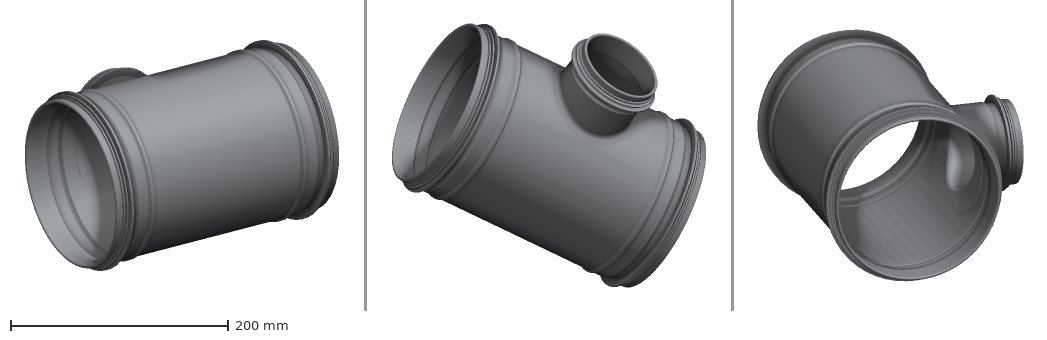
import cadquery as cq

pipe_length = 243.0
pipe_diameter = 159.0
sheet = 0.5

branch_diameter = 79.0
neck_diameter = 78.0
overall_width = 211.5

bore_drop = 5.8
groove_drop = 4.5
taper_start = 21.5
taper_end = 24.3
bend_shift = 0.7
fold_length = 6.3

tongue_drop = 3.5
band_drop = 2.0
gasket_start = 2.5
gasket_end = 15.5
band_start = 7.0
gasket_lips = [(7.5, 8.7, 1.7), (10.2, 11.5, 5.5), (13.5, gasket_end, 10.5)]

bead_center = 39.0
bead_foot_width = 6.8
bead_crest_width = 3.0
bead_height = 1.7

plate_half_length = 65.1
plate_half_height = 53.5
plate_top_half_length = 27.2
plate_side_half_height = 32.3
plate_corner_middle = (47.5, 47.1)
neck_fillet = 4.0
pipe_opening_diameter = 93.3

max_lip_rise = gasket_lips[-1][2]
branch_reach = overall_width - (pipe_diameter + max_lip_rise) / 2
pipe_radius = pipe_diameter / 2
neck_radius = neck_diameter / 2
plate_radius = pipe_radius - sheet


def bead_points(radius, narrowing):
    """Bead on one face of the wall as (radius, distance from rim), narrowed on both sides."""
    foot = bead_foot_width / 2 - narrowing
    crest = bead_crest_width / 2 - narrowing
    return [
        (radius, bead_center - foot),
        (radius + bead_height, bead_center - crest),
        (radius + bead_height, bead_center + crest),
        (radius, bead_center + foot),
    ]


def tube_wall(rim_diameter, tube_diameter, length, with_bead):
    """Spigot from its rim in the XZ plane, and the tube behind it, revolved about Y.

    The half section is given as (radius, distance from the rim).
    """
    outer = rim_diameter / 2
    inner = outer - sheet
    tube_outer = tube_diameter / 2
    tube_inner = tube_outer - sheet
    groove = outer - groove_drop / 2
    bore = outer - bore_drop / 2
    rim_outer_radius = (outer - bore) / 2
    rim_inner_radius = (inner - groove) / 2
    outside = bead_points(tube_outer, 0) if with_bead else []
    inside = bead_points(tube_inner, bend_shift)[::-1] if with_bead else []

    section = cq.Workplane("XY").moveTo(groove, rim_outer_radius)
    for point in [(groove, taper_start), (tube_outer, taper_end), *outside, (tube_outer, length)]:
        section = section.lineTo(*point)
    inner_taper = [(tube_inner, taper_end + bend_shift), (bore, taper_start + bend_shift)]
    for point in [(tube_inner, length), *inside, *inner_taper]:
        section = section.lineTo(*point)
    fold_bottom = rim_outer_radius - rim_inner_radius
    return (
        section.lineTo(bore, rim_outer_radius)
        .threePointArc(((outer + bore) / 2, 0), (outer, rim_outer_radius))
        .lineTo(outer, fold_length)
        .lineTo(inner, fold_length)
        .lineTo(inner, rim_outer_radius)
        .threePointArc(((inner + groove) / 2, fold_bottom), (groove, rim_outer_radius))
        .close()
        .revolve(360, (0, 0), (0, 1))
    )


def make_gasket(diameter):
    """Gasket of a spigot whose rim lies in the XZ plane and which extends along +Y."""
    outer = diameter / 2
    seat = outer - groove_drop / 2
    band = outer - band_drop / 2
    tongue = outer - tongue_drop / 2
    section = cq.Workplane("XY").moveTo(seat, gasket_start)
    section = section.lineTo(tongue, gasket_start).lineTo(tongue, band_start).lineTo(band, band_start)
    for start, end, rise in gasket_lips:
        tip = outer + rise / 2
        section = section.lineTo(band, start).lineTo(tip, start).lineTo(tip, end).lineTo(band, end)
    return section.lineTo(seat, gasket_end).close().revolve(360, (0, 0), (0, 1))


def at_front_end(body):
    return body.translate((0, -pipe_length / 2, 0))


def at_branch_end(body):
    return body.rotate((0, 0, 0), (0, 0, 1), -90).translate((-branch_reach, 0, 0))


def cylinder_along_x(radius, reach):
    return cq.Workplane("YZ").circle(radius).extrude(-reach)


def make_pipe():
    front_half = at_front_end(tube_wall(pipe_diameter, pipe_diameter, pipe_length / 2, True))
    pipe = front_half.union(front_half.mirror("XZ"))
    return pipe.cut(cylinder_along_x(pipe_opening_diameter / 2, branch_reach)).solids()


def plate_block():
    """Prism along -X with the outline of the saddle plate: flat sides joined by corner arcs."""
    side_y, side_z = plate_half_length, plate_side_half_height
    top_y, top_z = plate_top_half_length, plate_half_height
    mid_y, mid_z = plate_corner_middle
    return (
        cq.Workplane("YZ")
        .moveTo(-top_y, top_z)
        .lineTo(top_y, top_z)
        .threePointArc((mid_y, mid_z), (side_y, side_z))
        .lineTo(side_y, -side_z)
        .threePointArc((mid_y, -mid_z), (top_y, -top_z))
        .lineTo(-top_y, -top_z)
        .threePointArc((-mid_y, -mid_z), (-side_y, -side_z))
        .lineTo(-side_y, side_z)
        .threePointArc((-mid_y, mid_z), (-top_y, top_z))
        .close()
        .extrude(-branch_reach)
    )


def filleted_tee(run_radius, branch_radius, branch_length, fillet):
    """Solid cylinder along Y with a round branch along -X, rounded where they meet."""
    run = cq.Workplane("XZ").circle(run_radius).extrude(pipe_length / 2, both=True)
    tee = run.union(cylinder_along_x(branch_radius, branch_length))
    meeting_zone = cq.selectors.BoxSelector(
        (-run_radius - sheet, -branch_radius, -branch_radius),
        (0, branch_radius, branch_radius),
        boundingbox=False,
    )
    return tee.edges(meeting_zone).fillet(fillet)


def make_saddle():
    neck_start = taper_end + bend_shift
    neck_reach = branch_reach - neck_start
    outside = filleted_tee(plate_radius, neck_radius, neck_reach, neck_fillet)
    inside = filleted_tee(plate_radius - sheet, neck_radius - sheet, branch_reach, neck_fillet + sheet)
    plate_and_neck = outside.intersect(plate_block()).cut(inside)
    spigot = at_branch_end(tube_wall(branch_diameter, neck_diameter, neck_start + sheet, False))
    return plate_and_neck.union(spigot).solids()


pipe = make_pipe()
saddle = make_saddle()
front_gasket = at_front_end(make_gasket(pipe_diameter))
pipe_gaskets = [front_gasket, front_gasket.mirror("XZ")]
branch_gasket = at_branch_end(make_gasket(branch_diameter))

bodies = [pipe, saddle, *pipe_gaskets, branch_gasket]
result = cq.Compound.makeCompound([body.val() for body in bodies])